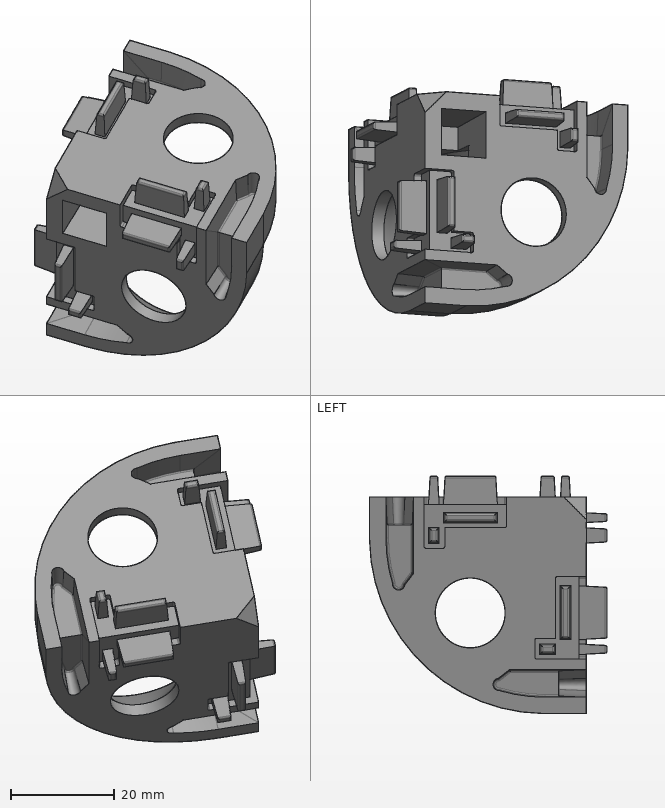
import cadquery as cq
import math


OVERALL_SIDE = 46
BODY_SIDE = 42.0
RIM_RADIUS = 34.0
RIM_CENTRE = BODY_SIDE - RIM_RADIUS
WALL = 8.5
CORNER_CUT = 4.4

HOLE_DIAMETER = 13.5
HOLE_CENTRE = 22.5
HOLE_STRAIGHT_DEPTH = 2.5
FLARE_RADIUS = 12.6

RECESS_DEPTH = 1.45
RECESS_START = 15.45
RECESS_END = 31.4
STRIP_WIDTH = 6.0
TAB_START = 27.4
TAB_WIDTH = 10.0
RECESS_CORNER_FILLET = 0.35

TONGUE_PROJECTION = OVERALL_SIDE - BODY_SIDE
TONGUE_TIP_FILLET = 0.35
TONGUE_TAPER = 3
LONG_TONGUE_SIZE = (10.45, 2.05)
LONG_TONGUE_CENTRE = (22.45, 4.05)
SHORT_TONGUE_SIZE = (2.05, 3.15)
SHORT_TONGUE_CENTRE = (29.55, 7.5)

GROOVE_DEPTH = 5.45
GROOVE_TAPER = 2.5
GROOVE_FLOOR_FILLET = 0.28
GROOVE_INNER = 33.5
GROOVE_OUTER_RADIUS = 30.8
GROOVE_STRAIGHT = 14.85
GROOVE_NOSE_START = (35.15, 17.0)
GROOVE_NOSE = (36.55, 18.05)
GROOVE_ARC_END = 16.8

POCKET_NEAR = 3.4
POCKET_SIDE = 9.15
POCKET_DEPTH = 14.0
POCKET_TAPER = 2.1

OVERRUN = 2.75

SWAP_TOP_EDGES = (1, -1, 0)
TOP_TO_FRONT = (0, 1, 1)
TOP_TO_LEFT = (1, 0, 1)


def with_mirror(shape, normal):
    """The shape together with its mirror image in a plane through the corner."""
    return shape.union(shape.mirror(normal))


def on_all_faces(shape):
    """A feature of the top face, repeated on the front and left faces."""
    return shape.union(shape.mirror(TOP_TO_FRONT)).union(shape.mirror(TOP_TO_LEFT))


def plate():
    diagonal = RIM_CENTRE + RIM_RADIUS * math.sqrt(0.5)
    return (
        cq.Workplane("XY")
        .lineTo(BODY_SIDE, 0)
        .lineTo(BODY_SIDE, RIM_CENTRE)
        .threePointArc((diagonal, diagonal), (RIM_CENTRE, BODY_SIDE))
        .lineTo(0, BODY_SIDE)
        .close()
        .extrude(-WALL)
    )


def opening():
    """Straight bore followed by a cone that widens to the inner face."""
    return (
        cq.Workplane("XZ", origin=(HOLE_CENTRE, HOLE_CENTRE, 0))
        .lineTo(HOLE_DIAMETER / 2, 0)
        .lineTo(HOLE_DIAMETER / 2, -HOLE_STRAIGHT_DEPTH)
        .lineTo(FLARE_RADIUS, -WALL)
        .lineTo(0, -WALL)
        .close()
        .revolve(360, (0, 0), (0, 1))
    )


def recess_part(start, width):
    """Round-cornered strip from the given start to the recess end, open at the front edge."""
    return (
        cq.Workplane("XY")
        .moveTo((start + RECESS_END) / 2, (width - OVERRUN) / 2)
        .rect(RECESS_END - start, width + OVERRUN)
        .extrude(-RECESS_DEPTH)
        .edges("|Z")
        .fillet(RECESS_CORNER_FILLET)
    )


def recess():
    return recess_part(RECESS_START, STRIP_WIDTH).union(recess_part(TAB_START, TAB_WIDTH))


def groove():
    """Groove with a rounded nose, running out over the front edge."""
    outer_wall = RIM_CENTRE + GROOVE_OUTER_RADIUS

    def on_outer_arc(y):
        return (RIM_CENTRE + math.sqrt(GROOVE_OUTER_RADIUS**2 - (y - RIM_CENTRE) ** 2), y)

    return (
        cq.Workplane("XY")
        .moveTo(GROOVE_INNER, -OVERRUN)
        .lineTo(outer_wall, -OVERRUN)
        .lineTo(outer_wall, RIM_CENTRE)
        .threePointArc(on_outer_arc((RIM_CENTRE + GROOVE_ARC_END) / 2), on_outer_arc(GROOVE_ARC_END))
        .threePointArc(GROOVE_NOSE, GROOVE_NOSE_START)
        .lineTo(GROOVE_INNER, GROOVE_STRAIGHT)
        .close()
        .extrude(-GROOVE_DEPTH, taper=GROOVE_TAPER)
        .faces("<Z")
        .edges()
        .fillet(GROOVE_FLOOR_FILLET)
    )


def tongue(size, centre):
    return (
        cq.Workplane("XY", origin=(*centre, -RECESS_DEPTH))
        .rect(*size)
        .extrude(RECESS_DEPTH + TONGUE_PROJECTION, taper=TONGUE_TAPER)
        .faces(">Z")
        .edges()
        .fillet(TONGUE_TIP_FILLET)
    )


def pocket():
    middle = POCKET_NEAR + POCKET_SIDE / 2
    return (
        cq.Workplane("XZ", origin=(middle, 0, -middle))
        .rect(POCKET_SIDE, POCKET_SIDE)
        .extrude(-POCKET_DEPTH, taper=POCKET_TAPER)
    )


def corner_cut():
    """Block that bevels the shared corner equally along the three edges."""
    third = CORNER_CUT / 3
    bevel = cq.Plane(origin=(third, third, -third), xDir=(1, -1, 0), normal=(-1, -1, 1))
    return cq.Workplane(bevel).rect(2 * CORNER_CUT, 2 * CORNER_CUT).extrude(CORNER_CUT)


body = on_all_faces(plate())
body = body.cut(on_all_faces(opening()))
body = body.cut(on_all_faces(with_mirror(recess(), SWAP_TOP_EDGES)))
body = body.cut(on_all_faces(with_mirror(groove(), SWAP_TOP_EDGES)))
body = body.cut(pocket())
body = body.cut(corner_cut())

tongues = tongue(LONG_TONGUE_SIZE, LONG_TONGUE_CENTRE)
tongues = tongues.union(tongue(SHORT_TONGUE_SIZE, SHORT_TONGUE_CENTRE))
result = body.union(on_all_faces(with_mirror(tongues, SWAP_TOP_EDGES)))